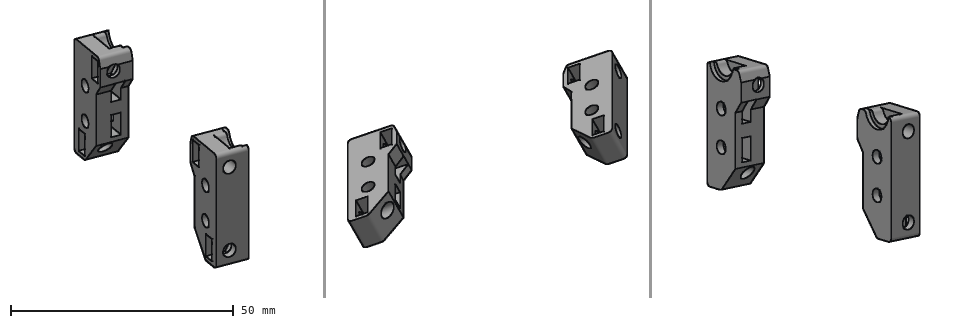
import cadquery as cq
import math

TOTAL_LENGTH = 65.0
DEPTH = 8.4
HEIGHT = 29.0

HEAD_WIDTH = 12.0
BODY_WIDTH = 10.0
FOOT_WIDTH = 5.0
TOP_WIDTH = 11.2
HEAD_SLOPE_DROP = 2.55
HEAD_BOTTOM_DROP = 7.2
BODY_TOP_DROP = 9.95
FOOT_TAPER_HEIGHT = 6.0
CORNER_RADIUS = 1.05

MOUNT_X = 5.0
MOUNT_DIAMETER = 3.2
MOUNT_TOP_DROP = 10.0
MOUNT_COUNT = 2
MOUNT_SPACING = 9.0
MOUNT_HEIGHTS = [HEIGHT - MOUNT_TOP_DROP - i * MOUNT_SPACING for i in range(MOUNT_COUNT)]
MOUNT_NUT_FRONT_Y = 3.9
MOUNT_NUT_THICKNESS = 2.55

CROSS_Y = 3.4
CROSS_DIAMETER = 3.3
CROSS_END_DISTANCE = 3.9
CROSS_TOP_HEIGHT = HEIGHT - CROSS_END_DISTANCE
CROSS_BOTTOM_HEIGHT = CROSS_END_DISTANCE
CROSS_NUT_THICKNESS = 2.85
CROSS_TOP_NUT_X = 8.0
CROSS_BOTTOM_NUT_X = 2.0

NUT_FLATS = 5.65
NUT_CORNER_RADIUS = NUT_FLATS / math.sqrt(3)

TROUGH_X = MOUNT_X
TROUGH_AXIS_RISE = 0.4
TROUGH_RADIUS = 3.0
TROUGH_LENGTH = 4.15
RIM_TROUGH_RADIUS = 4.0
RIM_TROUGH_LENGTH = 1.2
TROUGH_LIP_RADIUS = 1.0

CUT_MARGIN = 1.95


def front_plane(y):
    """XZ sketch plane at depth y; a negative extrusion goes towards the back."""
    return cq.Workplane("XZ", origin=(0, y, 0))


def bracket_blank():
    """Plain bracket outline with rounded top and bottom corners."""
    outline = [
        (0, 0),
        (FOOT_WIDTH, 0),
        (BODY_WIDTH, FOOT_TAPER_HEIGHT),
        (BODY_WIDTH, HEIGHT - BODY_TOP_DROP),
        (HEAD_WIDTH, HEIGHT - HEAD_BOTTOM_DROP),
        (HEAD_WIDTH, HEIGHT - HEAD_SLOPE_DROP),
        (TOP_WIDTH, HEIGHT),
        (0, HEIGHT),
    ]
    blank = front_plane(0).polyline(outline).close().extrude(-DEPTH)
    blank = blank.faces(">Z").edges("|Y").fillet(CORNER_RADIUS)
    return blank.faces("<Z").edges("|Y").fillet(CORNER_RADIUS)


def slot_outline(plane, tip_direction, reach):
    """Sketch half a nut hexagon with its tip one way and a straight slot the other way."""
    half_flats = NUT_FLATS / 2
    half_side = NUT_CORNER_RADIUS / 2
    return plane.polyline([
        (tip_direction * NUT_CORNER_RADIUS, 0),
        (tip_direction * half_side, half_flats),
        (-tip_direction * reach, half_flats),
        (-tip_direction * reach, -half_flats),
        (tip_direction * half_side, -half_flats),
    ]).close()


def mount_cut(z):
    """Mounting hole and its nut slot, with the hexagon tip towards the outer side."""
    hole = front_plane(0).center(MOUNT_X, z).circle(MOUNT_DIAMETER / 2).extrude(-DEPTH)
    plane = front_plane(MOUNT_NUT_FRONT_Y).center(MOUNT_X, z)
    reach = HEAD_WIDTH - MOUNT_X + CUT_MARGIN
    slot = slot_outline(plane, -1, reach).extrude(-MOUNT_NUT_THICKNESS)
    return hole.union(slot)


def cross_cut(z, nut_x):
    """Cross hole and its nut slot, with the hexagon tip towards the back."""
    hole = cq.Workplane("YZ").center(CROSS_Y, z).circle(CROSS_DIAMETER / 2).extrude(HEAD_WIDTH)
    plane = cq.Workplane("YZ", origin=(nut_x, 0, 0)).center(CROSS_Y, z)
    slot = slot_outline(plane, 1, CROSS_Y + CUT_MARGIN).extrude(CROSS_NUT_THICKNESS)
    return hole.union(slot)


def trough_cut(radius, length, outer_lip):
    """Round trough with a rounded lip on the inner side and, if asked, on the outer side."""
    axis_z = HEIGHT + TROUGH_AXIS_RISE
    lip_z = HEIGHT - TROUGH_LIP_RADIUS
    lip_drop = axis_z - lip_z
    lip_offset = math.sqrt((radius + TROUGH_LIP_RADIUS) ** 2 - lip_drop ** 2)
    lip_angle = math.atan2(lip_drop, lip_offset)
    join_offset = radius * math.cos(lip_angle)
    join_z = axis_z - radius * math.sin(lip_angle)
    mid_angle = (math.pi - lip_angle + math.pi / 2) / 2
    mid_offset = lip_offset + TROUGH_LIP_RADIUS * math.cos(mid_angle)
    mid_z = lip_z + TROUGH_LIP_RADIUS * math.sin(mid_angle)
    ceiling = HEIGHT + CUT_MARGIN

    profile = front_plane(DEPTH - length).moveTo(TROUGH_X + lip_offset, ceiling)
    profile = profile.lineTo(TROUGH_X + lip_offset, HEIGHT)
    profile = profile.threePointArc((TROUGH_X + mid_offset, mid_z), (TROUGH_X + join_offset, join_z))
    bottom = (TROUGH_X, axis_z - radius)
    if outer_lip:
        profile = profile.threePointArc(bottom, (TROUGH_X - join_offset, join_z))
        profile = profile.threePointArc((TROUGH_X - mid_offset, mid_z), (TROUGH_X - lip_offset, HEIGHT))
        profile = profile.lineTo(TROUGH_X - lip_offset, ceiling)
    else:
        profile = profile.threePointArc(bottom, (TROUGH_X - radius, axis_z))
        profile = profile.lineTo(TROUGH_X - radius, ceiling)
    return profile.close().extrude(-length)


def make_bracket():
    """Bracket with its outer side at X = 0."""
    body = bracket_blank()
    for z in MOUNT_HEIGHTS:
        body = body.cut(mount_cut(z))
    body = body.cut(cross_cut(CROSS_TOP_HEIGHT, CROSS_TOP_NUT_X))
    body = body.cut(cross_cut(CROSS_BOTTOM_HEIGHT, CROSS_BOTTOM_NUT_X))
    body = body.cut(trough_cut(TROUGH_RADIUS, TROUGH_LENGTH, outer_lip=True))
    return body.cut(trough_cut(RIM_TROUGH_RADIUS, RIM_TROUGH_LENGTH, outer_lip=False))


left_bracket = make_bracket().translate((-TOTAL_LENGTH / 2, 0, 0))
right_bracket = left_bracket.mirror("YZ")

result = cq.Compound.makeCompound([left_bracket.val(), right_bracket.val()])